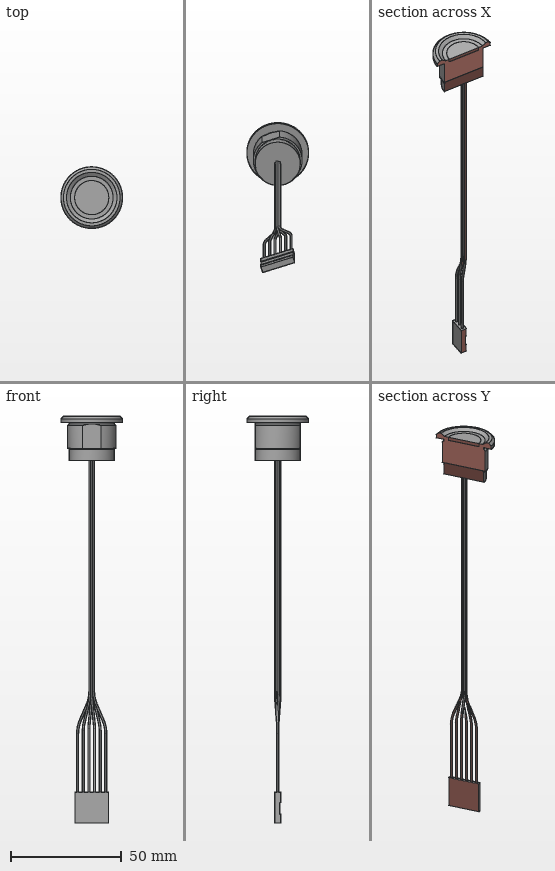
import cadquery as cq
import math

overall_height = 184.0
top_z = overall_height / 2
flange_thickness = 3.0
neck_height = 0.5
barrel_height = 11.0
plug_height = 5.5

flange_bottom_z = top_z - flange_thickness
barrel_top_z = flange_bottom_z - neck_height
barrel_bottom_z = barrel_top_z - barrel_height
plug_bottom_z = barrel_bottom_z - plug_height

flange_diameter = 28.0
flange_chamfer = 1.2
barrel_diameter = 22.0
core_diameter = 20.5
barrel_chamfer = (barrel_diameter - core_diameter) / 2
plug_chamfer = 0.5

recess_mouth_diameter = 22.8
recess_floor_diameter = 19.3
recess_depth = 1.2
lens_diameter = 15.5
lens_thickness = 1.5

recess_floor_z = top_z - recess_depth
lens_bottom_z = recess_floor_z - lens_thickness

connector_width = 15.3
connector_thickness = 2.8
connector_height = 14.0
connector_bottom_z = top_z - overall_height
connector_top_z = connector_bottom_z + connector_height
back_recess_drop = 4.8
back_recess_height = 5.2
back_recess_depth = 0.4

wire_diameter = 1.0
bundle_radius = 0.98
fan_top_z = -35.5
fan_bottom_z = -48.4
bend_radius = 14.7
bundle_angles = [150, 210, 90, 270, 30, 330]
wire_pitch = connector_width / len(bundle_angles)


def cylinder(diameter, bottom_z, height):
    return cq.Workplane("XY", origin=(0, 0, bottom_z)).circle(diameter / 2).extrude(height)


def make_recess():
    return (
        cq.Workplane("XY", origin=(0, 0, recess_floor_z))
        .circle(recess_floor_diameter / 2)
        .workplane(offset=recess_depth)
        .circle(recess_mouth_diameter / 2)
        .loft(ruled=True)
    )


def make_housing():
    flange = cylinder(flange_diameter, flange_bottom_z, flange_thickness).faces(">Z").chamfer(flange_chamfer)
    neck = cylinder(core_diameter, barrel_top_z, neck_height)
    barrel = cylinder(barrel_diameter, barrel_bottom_z, barrel_height).faces(">Z").chamfer(barrel_chamfer)
    between_flats = cq.Workplane("XY", origin=(0, 0, barrel_bottom_z)).rect(barrel_diameter, core_diameter)
    barrel = barrel.intersect(between_flats.extrude(barrel_height))
    return flange.union(neck).union(barrel).cut(make_recess()).cut(make_lens())


def make_lens():
    return cylinder(lens_diameter, lens_bottom_z, lens_thickness)


def make_end_plug():
    return cylinder(core_diameter, plug_bottom_z, plug_height).faces(">Z").chamfer(plug_chamfer)


def make_connector():
    body = cq.Workplane("XY").box(connector_width, connector_thickness, connector_height)
    body = body.translate((0, 0, connector_bottom_z + connector_height / 2))
    back_recess = cq.Workplane("XY").box(connector_width, 2 * back_recess_depth, back_recess_height)
    recess_z = connector_top_z - back_recess_drop - back_recess_height / 2
    return body.cut(back_recess.translate((0, connector_thickness / 2, recess_z)))


def make_wire(start, end):
    """One wire from the housing to the connector: two vertical runs and a slanted one, with round bends."""
    run = math.dist(start, end)
    direction = cq.Vector((end[0] - start[0]) / run, (end[1] - start[1]) / run, 0)
    drop = fan_top_z - fan_bottom_z
    tilt = math.atan2(run, drop)
    trim = bend_radius * math.tan(tilt / 2)
    plane = cq.Plane(
        origin=(start[0], start[1], 0),
        xDir=direction,
        normal=direction.cross(cq.Vector(0, 0, 1)),
    )
    slant_x = trim * math.sin(tilt)
    slant_z = trim * math.cos(tilt)
    path = (
        cq.Workplane(plane)
        .moveTo(0, plug_bottom_z)
        .lineTo(0, fan_top_z + trim)
        .tangentArcPoint((slant_x, fan_top_z - slant_z), relative=False)
        .lineTo(run - slant_x, fan_bottom_z + slant_z)
        .tangentArcPoint((run, fan_bottom_z - trim), relative=False)
        .lineTo(run, connector_top_z)
    )
    section = cq.Workplane("XY", origin=(start[0], start[1], plug_bottom_z)).circle(wire_diameter / 2)
    return section.sweep(path)


def make_harness():
    harness = cq.Workplane("XY")
    for place, angle in enumerate(bundle_angles):
        start = (
            bundle_radius * math.cos(math.radians(angle)),
            bundle_radius * math.sin(math.radians(angle)),
        )
        end = ((place - (len(bundle_angles) - 1) / 2) * wire_pitch, 0)
        harness = harness.union(make_wire(start, end))
    return harness


housing = make_housing()
lens = make_lens()
end_plug = make_end_plug()
harness = make_harness()
connector = make_connector()

result = cq.Compound.makeCompound(
    [
        *housing.solids().vals(),
        *lens.solids().vals(),
        *end_plug.solids().vals(),
        *harness.solids().vals(),
        *connector.solids().vals(),
    ]
)